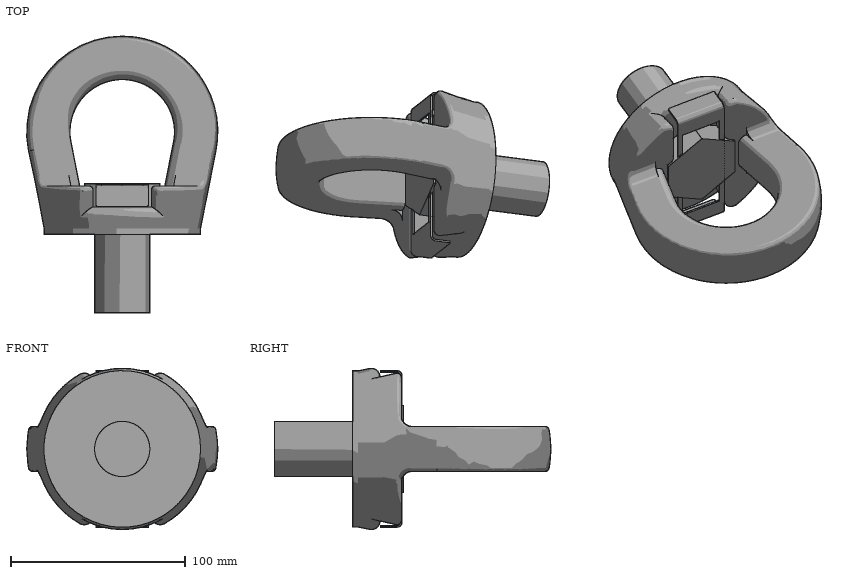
import cadquery as cq
import math

OVERALL_LENGTH = 159.0
STUD_DIAMETER = 31.75
STUD_LENGTH = 45.0

BASE_RADIUS = 45.0
RIM_HEIGHT = 3.3
BASE_HEIGHT = 28.0
EYE_RADIUS = 55.0
EYE_CENTER_Y = OVERALL_LENGTH - STUD_LENGTH - EYE_RADIUS
EYE_THICKNESS = 26.0
OPENING_RADIUS = 30.0
OPENING_ROUND = 5.0
OUTER_ROUND = 2.5
LEG_BLEND_RADIUS = 6.0

HEX_CORNERS = 50.0
HEX_TOP_Y = 29.2

SLOT_WIDTH = 33.6
SLOT_FLOOR_Y = 15.7
SLOT_ROUND = 5.0

MOUTH_MIN_Z = 40.0
PICK_MARGIN = 0.1

CLIP_WIDTH = 30.0
CLIP_THICKNESS = 1.0
CLIP_SPAN = 90.0
CLIP_BEND_RADIUS = 3.0
TAB_CORNER_RADIUS = 1.0
CLIP_TOP_Y = 28.4
TAB_END_Y = 16.0
WINDOW_WIDTH = 24.0
WINDOW_LENGTH = 66.0

rim_to_center = EYE_CENTER_Y - RIM_HEIGHT
flank_angle = math.asin(EYE_RADIUS / math.hypot(BASE_RADIUS, rim_to_center)) - math.atan2(
    BASE_RADIUS, rim_to_center
)


def tangent_point(radius):
    """Point where a flank line touches a circle around the eye centre."""
    return (radius * math.cos(flank_angle), EYE_CENTER_Y - radius * math.sin(flank_angle))


def make_envelope():
    """Turned outside shape: rim, tapered flank and spherical crown."""
    diagonal = EYE_RADIUS * math.sqrt(0.5)
    return (
        cq.Workplane("XY")
        .lineTo(BASE_RADIUS, 0)
        .lineTo(BASE_RADIUS, RIM_HEIGHT)
        .lineTo(*tangent_point(EYE_RADIUS))
        .threePointArc((diagonal, EYE_CENTER_Y + diagonal), (0, EYE_CENTER_Y + EYE_RADIUS))
        .close()
        .revolve(360, (0, 0, 0), (0, 1, 0))
    )


def make_side_profile():
    """Base slab and upright ring slab, joined by concave blends, as a prism along X."""
    half = EYE_THICKNESS / 2
    reach = 2 * EYE_RADIUS
    blend_y = BASE_HEIGHT + LEG_BLEND_RADIUS
    blend_z = half + LEG_BLEND_RADIUS
    return (
        cq.Workplane("YZ")
        .moveTo(0, -reach)
        .lineTo(BASE_HEIGHT, -reach)
        .lineTo(BASE_HEIGHT, -blend_z)
        .radiusArc((blend_y, -half), LEG_BLEND_RADIUS)
        .lineTo(OVERALL_LENGTH, -half)
        .lineTo(OVERALL_LENGTH, half)
        .lineTo(blend_y, half)
        .radiusArc((BASE_HEIGHT, blend_z), LEG_BLEND_RADIUS)
        .lineTo(BASE_HEIGHT, reach)
        .lineTo(0, reach)
        .close()
        .extrude(reach, both=True)
    )


def make_opening_prism(radius, floor_y, half_depth):
    """Horseshoe prism along Z with straight sides parallel to the flanks."""
    x_tangent, y_tangent = tangent_point(radius)
    x_floor = x_tangent - (y_tangent - floor_y) * math.tan(flank_angle)
    return (
        cq.Workplane("XY")
        .moveTo(-x_floor, floor_y)
        .lineTo(x_floor, floor_y)
        .lineTo(x_tangent, y_tangent)
        .threePointArc((0, EYE_CENTER_Y + radius), (-x_tangent, y_tangent))
        .close()
        .extrude(half_depth, both=True)
    )


def make_opening():
    """Horseshoe opening whose rim is rounded on both faces of the ring."""
    frame = (
        cq.Workplane("XY")
        .rect(4 * EYE_RADIUS, 4 * OVERALL_LENGTH)
        .extrude(EYE_THICKNESS / 2, both=True)
        .cut(make_opening_prism(OPENING_RADIUS, 0, EYE_THICKNESS))
    )
    lip = cq.selectors.BoxSelector(
        (-EYE_RADIUS, PICK_MARGIN, -EYE_THICKNESS), (EYE_RADIUS, OVERALL_LENGTH, EYE_THICKNESS)
    )
    frame = frame.faces("<Z or >Z").edges(lip).fillet(OPENING_ROUND)
    wide = make_opening_prism(OPENING_RADIUS + OPENING_ROUND, BASE_HEIGHT, EYE_RADIUS)
    return wide.cut(frame)


def make_slot():
    """Slot across the top of the base, open at both ends."""
    return (
        cq.Workplane("XY")
        .box(SLOT_WIDTH, BASE_HEIGHT - SLOT_FLOOR_Y, 2 * CLIP_SPAN)
        .translate((0, (BASE_HEIGHT + SLOT_FLOOR_Y) / 2, 0))
    )


def make_bolt():
    """Stud with a hexagonal head that stands on the slot floor."""
    floor_plane = cq.Workplane("XZ", origin=(0, SLOT_FLOOR_Y, 0))
    stud = floor_plane.circle(STUD_DIAMETER / 2).extrude(SLOT_FLOOR_Y + STUD_LENGTH)
    head = (
        floor_plane
        .transformed(rotate=(0, 0, 90))
        .polygon(6, HEX_CORNERS)
        .extrude(SLOT_FLOOR_Y - HEX_TOP_Y)
    )
    return stud.union(head)


def round_slot_mouth(eye, end):
    """Round the walls, then the floor, where the slot runs out through the flank at one Z end."""
    near, far = sorted((end * MOUTH_MIN_Z, end * CLIP_SPAN))
    half_width = SLOT_WIDTH / 2
    walls = cq.selectors.BoxSelector(
        (-half_width - PICK_MARGIN, SLOT_FLOOR_Y + PICK_MARGIN, near),
        (half_width + PICK_MARGIN, BASE_HEIGHT - PICK_MARGIN, far),
    )
    floor = cq.selectors.BoxSelector(
        (-PICK_MARGIN, SLOT_FLOOR_Y - PICK_MARGIN, near),
        (PICK_MARGIN, SLOT_FLOOR_Y + PICK_MARGIN, far),
    )
    return eye.edges(walls).fillet(SLOT_ROUND).edges(floor).fillet(SLOT_ROUND)


def round_outer_edges(eye):
    """Round the smooth edge chain of each face: crown, legs, leg blends, base and slot walls."""
    crown_radius = math.sqrt(EYE_RADIUS**2 - (EYE_THICKNESS / 2) ** 2)
    crowns = [
        edge
        for edge in eye.edges("%CIRCLE").vals()
        if math.isclose(edge.radius(), crown_radius, rel_tol=1e-6)
    ]
    return eye.newObject(crowns).fillet(OUTER_ROUND)


def make_eye():
    """Eye body with the clip slot, the horseshoe opening and a seat for the bolt."""
    eye = make_envelope().intersect(make_side_profile()).cut(make_slot())
    for end in (1, -1):
        eye = round_slot_mouth(eye, end)
    eye = round_outer_edges(eye.cut(make_opening()))
    return eye.cut(make_bolt())


def make_clip():
    """Thin strip bent down into a tab at each end, with a window along its flat middle."""
    height = CLIP_TOP_Y - TAB_END_Y
    window = cq.Workplane("XY").box(WINDOW_WIDTH, 2 * height, WINDOW_LENGTH)
    return (
        cq.Workplane("XY")
        .box(CLIP_WIDTH, height, CLIP_SPAN)
        .edges("|X and >Y")
        .fillet(CLIP_BEND_RADIUS)
        .faces("<Y or <X or >X")
        .shell(-CLIP_THICKNESS)
        .edges("|Z and <Y")
        .fillet(TAB_CORNER_RADIUS)
        .cut(window)
        .translate((0, CLIP_TOP_Y - height / 2, 0))
    )


eye = make_eye()
clip = make_clip()
bolt = make_bolt().cut(clip)
result = cq.Compound.makeCompound([*eye.solids().vals(), *bolt.solids().vals(), *clip.solids().vals()])